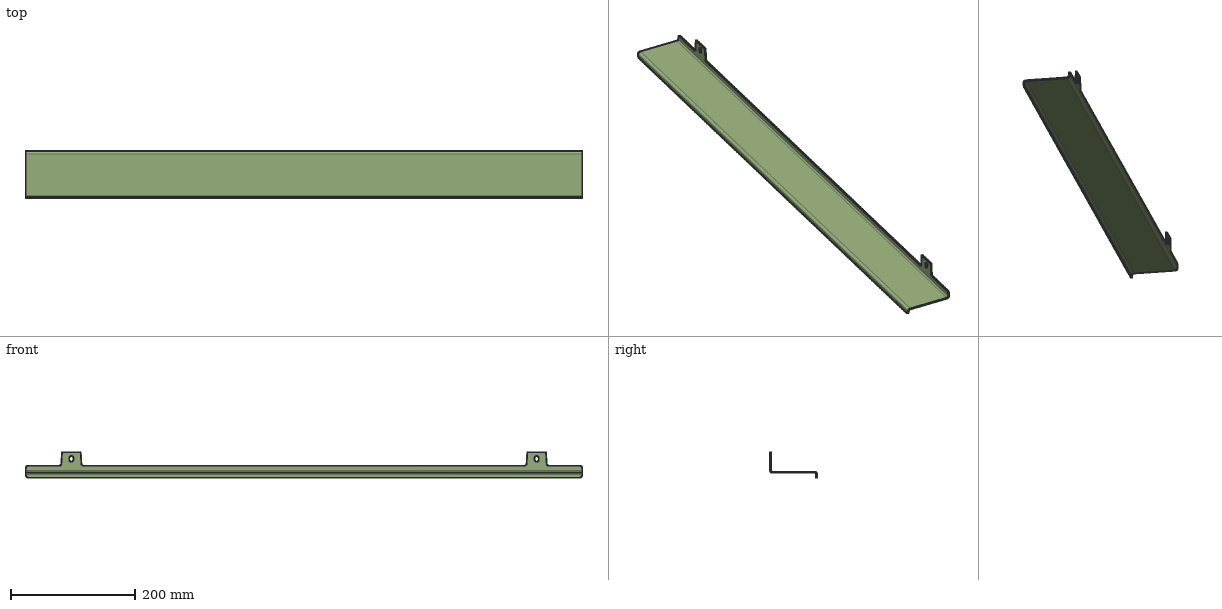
import cadquery as cq

length = 897.0
depth = 76.0
height = 41.0
thickness = 2.0

bend_radius = 4.5
inner_radius = bend_radius - thickness
shelf_top = 10.0
flange_top = 20.0
corner_radius = 4.5

tab_center = 375.0
tab_top_width = 30.5
tab_base_width = 33.0
tab_root_radius = 3.0
hole_height = 30.5
hole_width = 6.0
hole_length = 9.0

front = -depth / 2
back = depth / 2
shelf_bottom = shelf_top - thickness


def folded_sheet():
    """Z-shaped sheet: front flange up, flat shelf, rear lip down."""
    profile = (
        cq.Workplane("YZ", origin=(-length / 2, 0, 0))
        .moveTo(front, height)
        .lineTo(front, shelf_bottom + bend_radius)
        .radiusArc((front + bend_radius, shelf_bottom), -bend_radius)
        .lineTo(back - bend_radius, shelf_bottom)
        .radiusArc((back - thickness, shelf_top - bend_radius), inner_radius)
        .lineTo(back - thickness, 0)
        .lineTo(back, 0)
        .lineTo(back, shelf_top - bend_radius)
        .radiusArc((back - bend_radius, shelf_top), -bend_radius)
        .lineTo(front + bend_radius, shelf_top)
        .radiusArc((front + thickness, shelf_bottom + bend_radius), inner_radius)
        .lineTo(front + thickness, height)
        .close()
    )
    return profile.extrude(length)


def front_strip():
    """Full-length blank in the XZ plane with its four corners rounded."""
    return (
        cq.Workplane("XZ", origin=(0, back, 0))
        .center(0, flange_top / 2)
        .rect(length, flange_top)
        .extrude(depth)
        .edges("|Y")
        .fillet(corner_radius)
    )


def tab(center):
    """Tapered tab standing on the flange."""
    return (
        cq.Workplane("XZ", origin=(center, back, 0))
        .moveTo(-tab_base_width / 2, shelf_top)
        .lineTo(-tab_base_width / 2, flange_top)
        .lineTo(-tab_top_width / 2, height)
        .lineTo(tab_top_width / 2, height)
        .lineTo(tab_base_width / 2, flange_top)
        .lineTo(tab_base_width / 2, shelf_top)
        .close()
        .extrude(depth)
    )


def tab_hole(center):
    """Upright slot through a tab."""
    return (
        cq.Workplane("XZ", origin=(center, back, 0))
        .center(0, hole_height)
        .slot2D(hole_length, hole_width, 90)
        .extrude(depth)
    )


outline = front_strip()
for side in (-1, 1):
    outline = outline.union(tab(side * tab_center))

root_band = cq.selectors.BoxSelector(
    (-tab_center - tab_base_width, -depth, flange_top - tab_root_radius / 2),
    (tab_center + tab_base_width, depth, flange_top + tab_root_radius / 2),
)
outline = outline.edges("|Y").edges(root_band).fillet(tab_root_radius)

result = folded_sheet().intersect(outline)
for side in (-1, 1):
    result = result.cut(tab_hole(side * tab_center))